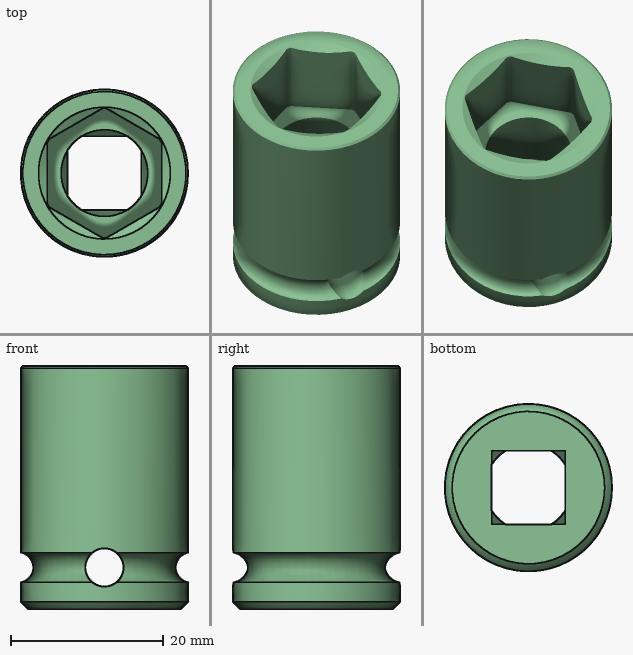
import cadquery as cq
import math

height = 32.0
outer_radius = 11.0
top_chamfer = 0.3
bottom_chamfer = 1.0

groove_half_width = 1.95
groove_depth = 1.63
pin_level = 5.5
pin_diameter = 5.0

hex_across_flats = 15.0
hex_corner_diameter = 17.02
hex_depth = 11.0
mouth_diameter = 17.35
mouth_angle = 30.0

bore_diameter = 11.4
square_side = 9.65
square_depth = 11.0
bore_floor_angle = 20.0

hex_floor = height - hex_depth


def cone_down(radius, top, angle):
    """Solid cone with its base at the given height and its tip below."""
    drop = radius * math.tan(math.radians(angle))
    profile = [(0, top), (radius, top), (0, top - drop)]
    return cq.Workplane("XZ").polyline(profile).close().revolve(360, (0, 0), (0, 1))


def make_body():
    """Turned outside with chamfered ends and a round-bottomed groove."""
    return (
        cq.Workplane("XZ")
        .moveTo(0, 0)
        .lineTo(outer_radius - bottom_chamfer, 0)
        .lineTo(outer_radius, bottom_chamfer)
        .lineTo(outer_radius, pin_level - groove_half_width)
        .threePointArc(
            (outer_radius - groove_depth, pin_level),
            (outer_radius, pin_level + groove_half_width),
        )
        .lineTo(outer_radius, height - top_chamfer)
        .lineTo(outer_radius - top_chamfer, height)
        .lineTo(0, height)
        .close()
        .revolve(360, (0, 0), (0, 1))
    )


def make_hex_socket():
    """Hexagon with corners along Y, trimmed round, plus its conical lead-in."""
    sharp_corner_diameter = hex_across_flats / math.cos(math.radians(30))
    floor = cq.Workplane("XY").workplane(offset=hex_floor)
    hexagon = floor.transformed(rotate=(0, 0, 90)).polygon(6, sharp_corner_diameter).extrude(hex_depth)
    corner_limit = floor.circle(hex_corner_diameter / 2).extrude(hex_depth)
    lead_in = cone_down(mouth_diameter / 2, height, mouth_angle)
    return hexagon.intersect(corner_limit).union(lead_in)


def make_drive():
    """Square drive from below, meeting a cone-bottomed bore from the hexagon."""
    bore_radius = bore_diameter / 2
    square = cq.Workplane("XY").rect(square_side, square_side).extrude(square_depth)
    bore = (
        cq.Workplane("XY")
        .workplane(offset=square_depth)
        .circle(bore_radius)
        .extrude(hex_floor - square_depth)
    )
    bore_floor = cone_down(bore_radius, square_depth, bore_floor_angle)
    return square.union(bore).union(bore_floor)


def make_pin_hole():
    """Round hole straight through along Y."""
    return (
        cq.Workplane("XZ")
        .center(0, pin_level)
        .circle(pin_diameter / 2)
        .extrude(outer_radius, both=True)
    )


result = make_body().cut(make_hex_socket()).cut(make_drive()).cut(make_pin_hole())